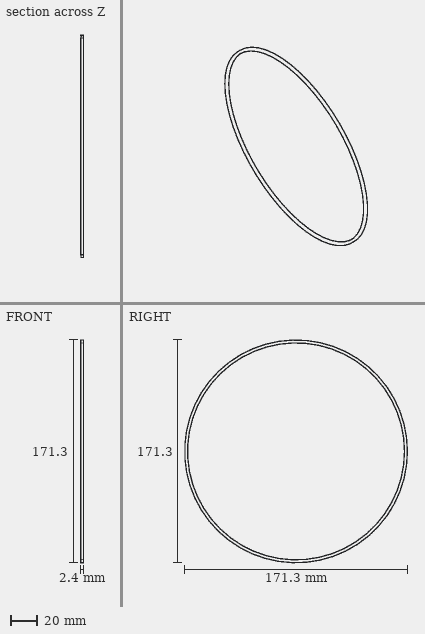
import cadquery as cq

outer_diameter = 171.3
inner_diameter = 166.47
thickness = 2.4
edge_radius = 0.2


def make_ring():
    """Extrude the annular face along X, centred on the YZ plane."""
    back_plane = cq.Workplane("YZ").workplane(offset=-thickness / 2)
    annulus = back_plane.circle(outer_diameter / 2).circle(inner_diameter / 2)
    return annulus.extrude(thickness)


def round_rims(ring):
    """Round the inner and outer rims on both flat faces."""
    return ring.faces("<X or >X").edges().fillet(edge_radius)


result = round_rims(make_ring())